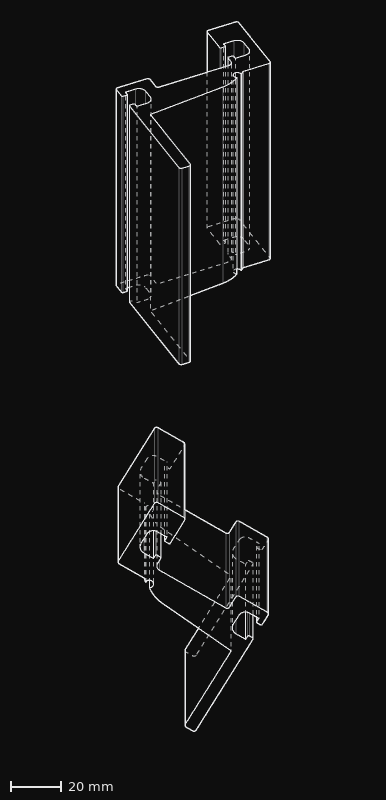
import cadquery as cq
import math

length = 100.0
width = 75.0
depth = 63.0

head_width = 30.0
head_depth = 14.0
head_front = depth - head_depth

foot_left = 17.0
foot_depth = 15.0
flange_thickness = 5.0

web_left = 24.0
web_root_x = 38.3
web_lean = math.radians(5.0)
web_straight_top = 38.9
shoulder_radius = 15.0
shoulder_top = 46.6

groove_x = 31.0
groove_y = 47.4
groove_radius = 1.6
nose_reach = 1.0
nose_tip_y = 49.4

head_slot_left = 10.6
head_slot_width = 10.4
head_slot_hook = 1.9
head_lip_radius = 0.3
foot_slot_left = 21.0
foot_slot_width = 10.2
foot_slot_hook = 2.0
foot_lip_radius = 0.5
slot_depth = 10.0
slot_lip = 2.5
slot_roof_radius = 3.0

corner_radius = 1.0
head_web_radius = 2.0
foot_web_radius = 1.0


def round_edges(body, points, radius):
    """Fillet the lengthwise edges that pass through the given profile points."""
    for x, y in points:
        edge = cq.selectors.NearestToPointSelector((x, y, length / 2))
        body = body.edges("|Z").edges(edge).fillet(radius)
    return body


def make_body():
    """Extrude the outline, with the shoulder arc tangent to the leaning face."""
    tangent_x = web_root_x - (web_straight_top - flange_thickness) * math.tan(web_lean)
    center_x = tangent_x - shoulder_radius * math.cos(web_lean)
    center_y = web_straight_top - shoulder_radius * math.sin(web_lean)
    top_angle = math.asin((shoulder_top - center_y) / shoulder_radius)
    mid_angle = (web_lean + top_angle) / 2

    def on_shoulder(angle):
        return (
            center_x + shoulder_radius * math.cos(angle),
            center_y + shoulder_radius * math.sin(angle),
        )

    return (
        cq.Workplane("XY")
        .moveTo(0, depth)
        .lineTo(0, head_front)
        .lineTo(web_left, head_front)
        .lineTo(web_left, foot_depth)
        .lineTo(foot_left, foot_depth)
        .lineTo(foot_left, 0)
        .lineTo(width, 0)
        .lineTo(width, flange_thickness)
        .lineTo(web_root_x, flange_thickness)
        .lineTo(tangent_x, web_straight_top)
        .threePointArc(on_shoulder(mid_angle), on_shoulder(top_angle))
        .lineTo(head_width + nose_reach, nose_tip_y)
        .lineTo(head_width, nose_tip_y + nose_reach)
        .lineTo(head_width, depth)
        .close()
        .extrude(length)
    )


def round_body(body):
    """Round the outer corners and the inner corners of the web."""
    outer_corners = [
        (0, depth),
        (0, head_front),
        (head_width, depth),
        (foot_left, foot_depth),
        (foot_left, 0),
        (width, 0),
        (width, flange_thickness),
    ]
    body = round_edges(body, outer_corners, corner_radius)
    body = round_edges(body, [(web_left, head_front)], head_web_radius)
    return round_edges(body, [(web_left, foot_depth)], foot_web_radius)


def cut_groove(body):
    """Cut the round groove along the whole length."""
    groove = cq.Workplane("XY").center(groove_x, groove_y).circle(groove_radius).extrude(length)
    return body.cut(groove)


def cut_slot(body, left, slot_width, hook, lip_radius, face_y):
    """Cut a T-slot with a rounded roof and rounded lips, open through the face at face_y."""
    mouth_left = left + hook
    mouth_right = left + slot_width - hook
    chamber = (
        cq.Workplane("XY")
        .moveTo(left, face_y + slot_lip)
        .rect(slot_width, slot_depth - slot_lip, centered=False)
        .extrude(length)
        .edges("|Z and >Y")
        .fillet(slot_roof_radius)
    )
    mouth = (
        cq.Workplane("XY")
        .moveTo(mouth_left, face_y)
        .rect(mouth_right - mouth_left, slot_lip, centered=False)
        .extrude(length)
    )
    body = body.cut(chamber).cut(mouth)
    lip_corners = [
        (x, y)
        for x in (mouth_left, mouth_right)
        for y in (face_y, face_y + slot_lip)
    ]
    return round_edges(body, lip_corners, lip_radius)


result = round_body(make_body())
result = cut_groove(result)
result = cut_slot(
    result, head_slot_left, head_slot_width, head_slot_hook, head_lip_radius, head_front
)
result = cut_slot(
    result, foot_slot_left, foot_slot_width, foot_slot_hook, foot_lip_radius, 0
)